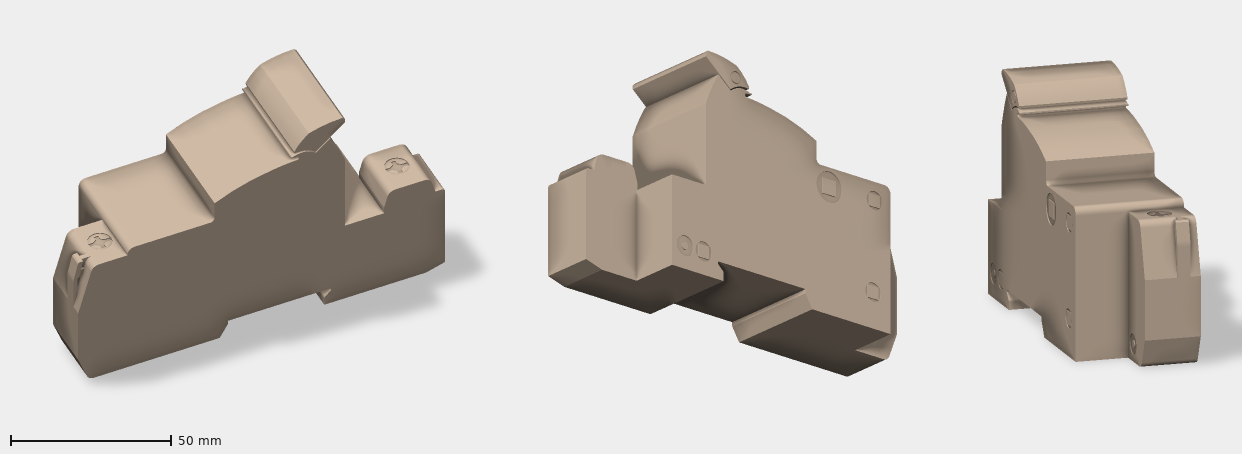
import cadquery as cq

width = 35.5
terminal_x = 17.2
front_y = -63.2
rear_y = 63.2
pick_margin = 0.06
body_front_y = -46.3
body_rear_y = 42.6

rear_deck_z = 30.5
tower_rear_y = 28.8
tower_corner_z = 58.1
tower_front_y = -16.2
tower_front_z = 57.2
front_deck_z = 49.6
deck_edge_radius = 2.5
tower_root_radius = 1.5

shoulder_middle = (26.7, 63.5)
shoulder_end = (23.8, 69.1)
saddle_low = (18.7, 64.9)
saddle_middle = (14.9, 66.8)
saddle_end = (11.8, 66.5)
lip_root = (10.5, 66.0)
lip_top = (10.1, 66.3)
lip_bottom = (10.1, 65.8)
undercut_start = (11.9, 65.7)
undercut_middle = (12.9, 65.0)
undercut_end = (12.1, 64.4)
crown_rear_middle = (7.5, 64.0)
crown_joint = (2.7, 63.2)
crown_front_middle = (-7.0, 61.0)

rail_z = 6.1
rail_rear_y = 23.8
rail_front_y = -11.6
rail_front_z = 4.7
rail_front_foot_y = -14.4
rail_notch_y = 24.0
rail_notch_z = 5.3
rail_hook_y = 21.6
rail_hook_z = 3.0
rail_hook_radius = 1.0

front_top_z = 46.9
slope_top_y = -58.2
slope_foot_z = 29.1
front_chamfer_z = 9.6
front_foot_y = -59.6
front_round = 2.9
foot_round = 2.7

rear_top_z = 39.0
rear_step_z = 32.8
hump_rear_foot_y = 60.0
hump_rear_top_y = 58.3
hump_front_top_y = 44.0
hump_front_foot_y = 42.3
hump_round = 2.9
rear_foot_y = 56.7
rear_foot_z = 1.9
rear_edge_round = 1.0

lower_seam = [(rear_y, 12.5), (-10.5, 12.5), (-36.7, 19.9), (front_y, 19.9)]
upper_seam = [(rear_y, 27.5), (-8.9, 27.5), (-33.1, 34.4), (front_y, 34.4)]

mark_depth = 0.4
square_marks = [
    (29.7, 7.8, 3.3, 4.4),
    (-39.7, 43.3, 3.2, 4.3),
    (-39.2, 12.3, 3.2, 4.3),
    (-21.4, 43.0, 5.2, 5.3),
]
ring_marks = [(0, 37.3, 7.8), (terminal_x, -51.2, 5.6)]
ring_outer_radius = 3.4
ring_inner_radius = 1.3
screw_x = 25.9
screw_y = 51.2
screw_radius = 3.9
cross_depth = 0.8
slot_half_x = 0.6
slot_half_y = 0.8
slot_root_x = 1.4
slot_root_y = 2.0
long_arm = 3.8
short_arm = 2.9

lever_rear_y = 28.8
tip_upper_z = 75.1
tip_lower_z = 73.9
lever_top_start = (28.0, 76.0)
lever_top_middle = (22.3, 75.5)
lever_brow = (16.3, 74.0)
lever_front_middle = (13.5, 71.3)
lever_nose = (11.3, 68.2)
lever_nose_foot = (11.4, 67.4)
lever_belly_middle = (15.0, 67.3)
lever_heel = (18.7, 65.4)
pivot_y = 16.7
pivot_z = 69.8
pivot_outer_radius = 2.2
pivot_inner_radius = 1.8

clip_x0 = 27.8
clip_x1 = 32.1
web_x0 = 29.3
web_x1 = 31.0
web_rear_y = -55.7
flange_bend_z = 40.0
flange_bend_radius = 7.3
tie_inset = 0.5
tie_top_z = 43.3
tie_bottom_z = 40.4
flange_top_inner_y = -60.0
tie_top_y = -60.7
tie_bottom_y = -61.5
flange_inner_y = -61.9
flange_top_outer_y = -61.2
flange_chamfer_y = -61.7
flange_chamfer_z = 46.4


def side_sketch(x):
    """Sketch plane across the width at x, with local axes Y and Z."""
    return cq.Workplane("YZ", origin=(x, 0, 0))


def side_prism(points, x0, x1):
    return side_sketch(x0).polyline(points).close().extrude(x1 - x0)


def round_edges(solid, radius, places):
    """Round the edges along X that pass through each (y, z) place."""
    for y, z in places:
        near_corner = (-pick_margin, y - pick_margin, z - pick_margin)
        far_corner = (width + pick_margin, y + pick_margin, z + pick_margin)
        picked = cq.selectors.BoxSelector(near_corner, far_corner)
        solid = solid.edges("|X").edges(picked).fillet(radius)
    return solid


def make_wide_body():
    body = (
        side_sketch(0)
        .moveTo(body_rear_y, 0)
        .lineTo(body_rear_y, rear_deck_z)
        .lineTo(tower_rear_y, rear_deck_z)
        .lineTo(tower_rear_y, tower_corner_z)
        .threePointArc(shoulder_middle, shoulder_end)
        .lineTo(*saddle_low)
        .threePointArc(saddle_middle, saddle_end)
        .lineTo(*lip_root)
        .lineTo(*lip_top)
        .lineTo(*lip_bottom)
        .lineTo(*undercut_start)
        .threePointArc(undercut_middle, undercut_end)
        .threePointArc(crown_rear_middle, crown_joint)
        .threePointArc(crown_front_middle, (tower_front_y, tower_front_z))
        .lineTo(tower_front_y, front_deck_z)
        .lineTo(body_front_y, front_deck_z)
        .lineTo(body_front_y, 0)
        .lineTo(rail_front_foot_y, 0)
        .lineTo(rail_front_y, rail_front_z)
        .lineTo(rail_front_y, rail_z)
        .lineTo(rail_rear_y, rail_z)
        .lineTo(rail_notch_y, rail_notch_z)
        .lineTo(rail_hook_y, rail_hook_z)
        .lineTo(rail_hook_y, 0)
        .close()
        .extrude(width)
    )
    body = round_edges(body, rail_hook_radius, [(rail_hook_y, rail_hook_z)])
    body = round_edges(body, deck_edge_radius, [(body_front_y, front_deck_z)])
    return round_edges(body, tower_root_radius, [(tower_front_y, front_deck_z)])


def make_front_terminal():
    outline = [
        (body_front_y, 0), (body_front_y, front_top_z), (slope_top_y, front_top_z),
        (front_y, slope_foot_z), (front_y, front_chamfer_z), (front_foot_y, 0),
    ]
    end = side_prism(outline, terminal_x, width)
    end = round_edges(end, front_round, [(slope_top_y, front_top_z)])
    return round_edges(end, foot_round, [(front_foot_y, 0)])


def make_rear_terminal():
    outline = [
        (hump_front_foot_y, 0), (hump_front_foot_y, rear_step_z), (hump_front_top_y, rear_top_z),
        (hump_rear_top_y, rear_top_z), (hump_rear_foot_y, rear_step_z), (rear_y, rear_step_z),
        (rear_y, rear_foot_z), (rear_foot_y, 0),
    ]
    end = side_prism(outline, terminal_x, width)
    end = round_edges(end, hump_round, [(hump_front_top_y, rear_top_z), (hump_rear_top_y, rear_top_z)])
    return round_edges(end, rear_edge_round, [(rear_y, rear_step_z)])


def square_mark(y, z, radius, side):
    """Shallow round recess around a square stud."""
    return side_sketch(0).center(y, z).circle(radius).rect(side, side).extrude(mark_depth)


def ring_mark(x, y, z, outer, inner):
    """Shallow round recess around a round stud."""
    return side_sketch(x).center(y, z).circle(outer).circle(inner).extrude(mark_depth)


def screw_mark(y, top_z):
    """Shallow round screw seat with a deeper cross slot."""
    quarter = [
        (slot_half_x, long_arm), (slot_half_x, slot_root_y), (slot_root_x, slot_half_y),
        (short_arm, slot_half_y),
    ]
    right = quarter + [(px, -py) for px, py in reversed(quarter)]
    points = right + [(-px, -py) for px, py in right]
    plane = cq.Workplane("XY", origin=(screw_x, y, top_z))
    cross = plane.polyline(points).close().extrude(-cross_depth)
    return plane.circle(screw_radius).extrude(-mark_depth).union(cross)


def make_housing():
    housing = make_wide_body().union(make_front_terminal()).union(make_rear_terminal())
    for y, z, radius, side in square_marks:
        housing = housing.cut(square_mark(y, z, radius, side))
    for x, y, z in ring_marks:
        housing = housing.cut(ring_mark(x, y, z, ring_outer_radius, ring_inner_radius))
    housing = housing.cut(screw_mark(screw_y, rear_top_z))
    return housing.cut(screw_mark(-screw_y, front_top_z))


def below(seam):
    """Block that fills the space below a seam."""
    return side_prism(seam + [(front_y, 0), (rear_y, 0)], 0, width)


def make_lever():
    lever = (
        side_sketch(0)
        .moveTo(lever_rear_y, tip_upper_z)
        .lineTo(*lever_top_start)
        .threePointArc(lever_top_middle, lever_brow)
        .threePointArc(lever_front_middle, lever_nose)
        .lineTo(*lever_nose_foot)
        .threePointArc(lever_belly_middle, lever_heel)
        .lineTo(lever_rear_y, tip_lower_z)
        .close()
        .extrude(width)
    )
    return lever.cut(ring_mark(0, pivot_y, pivot_z, pivot_outer_radius, pivot_inner_radius))


def make_clip(housing):
    flange = side_prism(
        [
            (flange_top_inner_y, front_top_z), (tie_top_y, tie_top_z), (tie_bottom_y, tie_bottom_z),
            (flange_inner_y, tie_bottom_z), (flange_inner_y, slope_foot_z), (front_y, slope_foot_z),
            (front_y, flange_bend_z), (flange_chamfer_y, flange_chamfer_z), (flange_top_outer_y, front_top_z),
        ],
        clip_x0, clip_x1,
    )
    flange = round_edges(flange, flange_bend_radius, [(front_y, flange_bend_z)])
    tie = side_prism(
        [
            (web_rear_y, tie_top_z), (tie_top_y, tie_top_z), (tie_bottom_y, tie_bottom_z),
            (web_rear_y, tie_bottom_z),
        ],
        clip_x0 + tie_inset, clip_x1 - tie_inset,
    )
    web = side_prism(
        [
            (web_rear_y, front_top_z), (flange_top_inner_y, front_top_z), (tie_top_y, tie_top_z),
            (tie_bottom_y, tie_bottom_z), (flange_inner_y, tie_bottom_z), (flange_inner_y, slope_foot_z),
            (web_rear_y, slope_foot_z),
        ],
        web_x0, web_x1,
    )
    return flange.union(tie).union(web).cut(housing)


whole_housing = make_housing()
base = whole_housing.intersect(below(lower_seam))
band = whole_housing.intersect(below(upper_seam)).cut(below(lower_seam))
cover = whole_housing.cut(below(upper_seam))
lever = make_lever()
clip = make_clip(whole_housing)

result = cq.Compound.makeCompound([base.val(), band.val(), cover.val(), lever.val(), clip.val()])